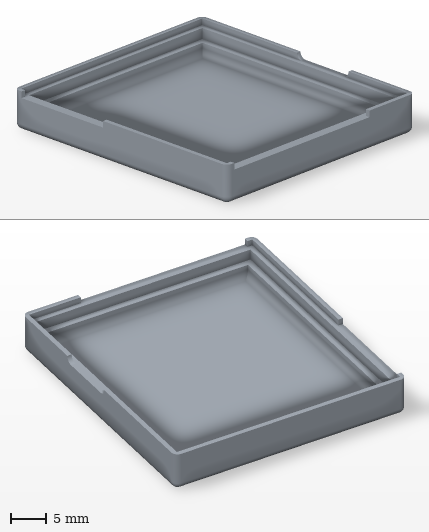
import cadquery as cq

length = 41.8
width = 38.2
height = 6.0
edge_radius = 1.0

lip_inset = 0.7
lip_depth = 1.0
ledge_inset = 1.5
ledge_depth = 2.68
floor_inset = 2.5
floor_depth = 4.5
floor_radius = 1.0

corner_margin = 1.5
front_notch_end = 17.5
right_notch_gap = 9.25
back_notch_start = 19.3
back_notch_length = 10.1
back_notch_radius = 1.0

left = -length / 2
right = length / 2
front = -width / 2
back = width / 2
lip_floor = height - lip_depth


def make_body():
    """Block with rounded upright corners and a rounded bottom edge."""
    block = cq.Workplane("XY").box(length, width, height, centered=(True, True, False))
    return block.edges("|Z or <Z").fillet(edge_radius)


def make_pocket(inset, depth):
    """Sharp-cornered pocket, open at the rim."""
    return (
        cq.Workplane("XY")
        .workplane(offset=height - depth)
        .rect(length - 2 * inset, width - 2 * inset)
        .extrude(depth)
    )


def make_notch(x_start, x_end, y_start, y_end):
    """Rectangular gap in the lip between the given corners."""
    return cq.Workplane("XY").box(
        x_end - x_start, y_end - y_start, lip_depth, centered=False
    ).translate((x_start, y_start, lip_floor))


def make_back_notch():
    """Gap in the +Y lip whose ends curve up from the ledge as quarter circles."""
    x_start = left + back_notch_start
    x_end = x_start + back_notch_length
    radius = back_notch_radius
    return (
        cq.Workplane("XZ", origin=(0, back, 0))
        .moveTo(x_start, height)
        .radiusArc((x_start + radius, lip_floor), -radius)
        .lineTo(x_end - radius, lip_floor)
        .radiusArc((x_end, height), -radius)
        .close()
        .extrude(lip_inset)
    )


tray = make_body()
tray = tray.cut(make_pocket(lip_inset, lip_depth))
tray = tray.cut(make_pocket(ledge_inset, ledge_depth))
floor_pocket = make_pocket(floor_inset, floor_depth).edges("<Z").fillet(floor_radius)
tray = tray.cut(floor_pocket)

front_notch = make_notch(left + corner_margin, left + front_notch_end, front, front + lip_inset)
right_notch = make_notch(right - lip_inset, right, front + corner_margin, back - right_notch_gap)
result = tray.cut(front_notch).cut(right_notch).cut(make_back_notch())